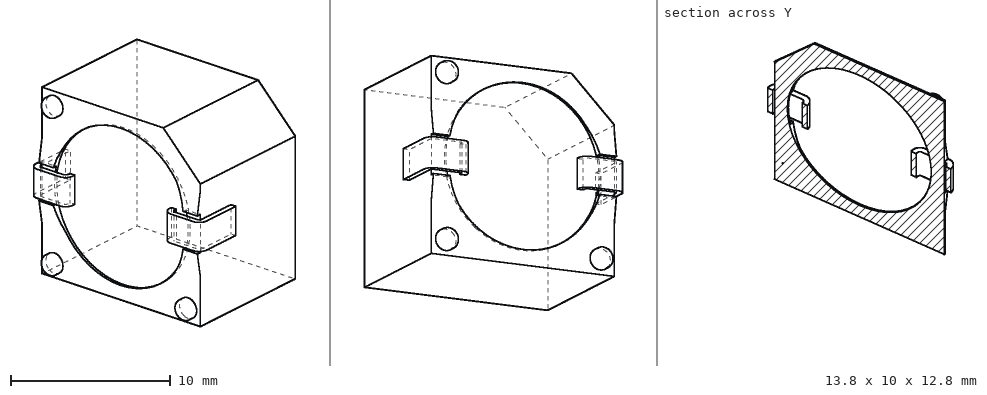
import cadquery as cq

housing_side = 12.8
housing_depth = 9.4
corner_cut = 3.0
standoff = 0.6

recess_radius = 5.4
recess_depth = 0.2

ramp_start = 3.0
ramp_end = 1.3
ramp_height = 0.3

peg_radius = 0.7
peg_edge_radius = 0.25
peg_offset = 5.4

terminal_width = 2.0
terminal_thickness = 0.4
terminal_span = 13.8
terminal_foot_length = 3.0
terminal_leg_end = 2.9

half_side = housing_side / 2


def front_plane(y):
    """Work plane at the given Y, facing -Y, with local x = X and local y = Z."""
    return cq.Workplane("XZ", origin=(0, y, 0))


def make_housing():
    block = cq.Workplane("XY").box(housing_side, housing_depth, housing_side)
    block = block.translate((0, housing_depth / 2, 0))
    return block.edges(">X and >Z").chamfer(corner_cut)


def make_recess():
    """Round volume cleared from the ramps and sunk into the mounting face."""
    return front_plane(recess_depth).circle(recess_radius).extrude(recess_depth + ramp_height)


def make_ramps():
    """Wedges on both sides of the terminals."""
    profile = [(0, ramp_start), (-ramp_height, ramp_end), (0, ramp_end)]
    upper = cq.Workplane("YZ").polyline(profile).close().extrude(half_side, both=True)
    return upper.union(upper.mirror("XY"))


def make_peg(x, z):
    peg = front_plane(0).center(x, z).circle(peg_radius).extrude(standoff)
    return peg.faces("<Y").edges().fillet(peg_edge_radius)


def make_terminal():
    """Bent strip on the -X side: a leg beside the housing, a foot and a hook seated on the recess floor."""
    outer_x = -terminal_span / 2
    inner_x = outer_x + terminal_thickness
    hook_x = outer_x + terminal_foot_length
    bend_outer = standoff
    bend_inner = standoff - terminal_thickness
    foot_start = outer_x + bend_outer
    foot_end = hook_x - bend_outer
    outline = (
        cq.Workplane("XY", origin=(0, 0, -terminal_width / 2))
        .moveTo(outer_x, terminal_leg_end)
        .lineTo(outer_x, 0)
        .radiusArc((foot_start, -bend_outer), -bend_outer)
        .lineTo(foot_end, -bend_outer)
        .radiusArc((hook_x, 0), -bend_outer)
        .lineTo(hook_x, recess_depth)
        .lineTo(hook_x - terminal_thickness, recess_depth)
        .lineTo(hook_x - terminal_thickness, 0)
        .radiusArc((foot_end, -bend_inner), bend_inner)
        .lineTo(foot_start, -bend_inner)
        .radiusArc((inner_x, 0), bend_inner)
        .lineTo(inner_x, terminal_leg_end)
        .close()
    )
    return outline.extrude(terminal_width)


peg_positions = [
    (-peg_offset, peg_offset),
    (-peg_offset, -peg_offset),
    (peg_offset, -peg_offset),
]

result = make_housing().union(make_ramps()).cut(make_recess())
for peg_x, peg_z in peg_positions:
    result = result.union(make_peg(peg_x, peg_z))

terminal = make_terminal()
result = result.union(terminal).union(terminal.mirror("YZ"))